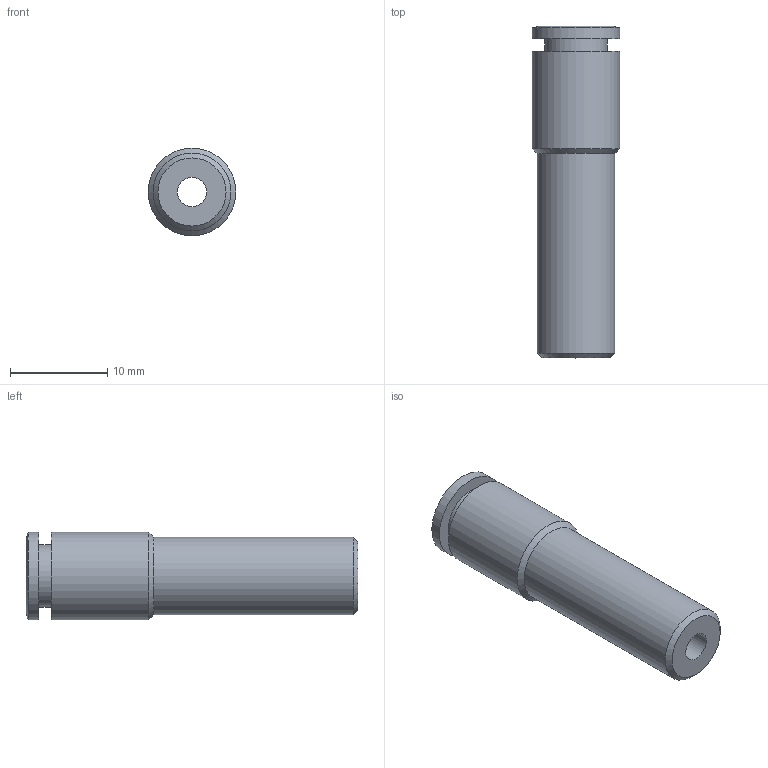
import cadquery as cq

stem_length = 21.0
body_length = 10.5
groove_width = 1.3
collar_width = 1.3

stem_diameter = 8.0
body_diameter = 9.0
groove_diameter = 6.4
collar_diameter = 9.0
bore_diameter = 3.0

stem_chamfer = 0.5
body_chamfer = 0.5
collar_chamfer_length = 0.2
collar_chamfer_depth = 0.7

stem_end = stem_length
body_end = stem_end + body_length
groove_end = body_end + groove_width
overall_length = groove_end + collar_width


def cylinder(diameter, start, length):
    """Solid cylinder on the Y axis, from start towards +Y."""
    return (
        cq.Workplane("XZ", origin=(0, start, 0))
        .circle(diameter / 2)
        .extrude(-length)
    )


def make_stem():
    stem = cylinder(stem_diameter, 0, stem_length)
    return stem.faces("<Y").chamfer(stem_chamfer)


def make_body():
    body = cylinder(body_diameter, stem_end, body_length)
    return body.faces("<Y").chamfer(body_chamfer)


def make_groove_neck():
    return cylinder(groove_diameter, body_end, groove_width)


def make_collar():
    """Release collar with a shallow cone around its outer face."""
    collar = cylinder(collar_diameter, groove_end, collar_width)
    return collar.faces(">Y").chamfer(collar_chamfer_length, collar_chamfer_depth)


bore = cylinder(bore_diameter, 0, overall_length)

result = (
    make_stem()
    .union(make_body())
    .union(make_groove_neck())
    .union(make_collar())
    .cut(bore)
)